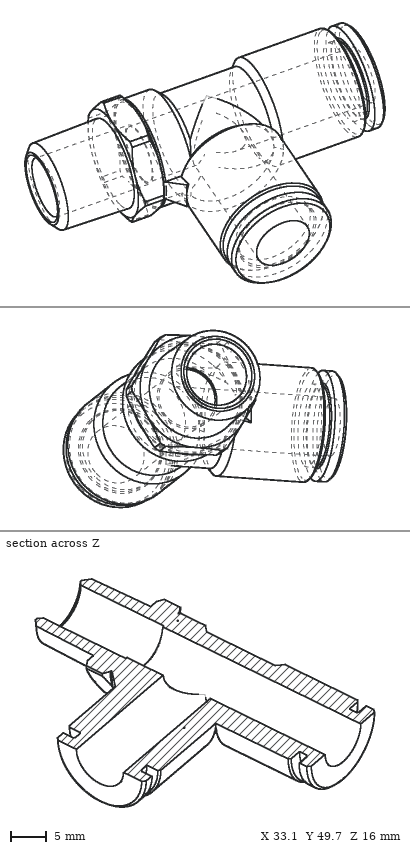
import math

import cadquery as cq

body_radius = 8.0
waist_radius = 7.0
shoulder = body_radius - waist_radius
port_length = 24.15
socket_start = body_radius
socket_end = 20.95
socket_chamfer = 0.3

collar_radius = 7.75
collar_thickness = 1.8
collar_chamfer = 0.45
neck_radius = 5.8
neck_flare = 0.2

ring_start = 5.9
ring_end = 10.45
ring_chamfer = 0.3

hex_sides = 6
hex_across_flats = 16.0
hex_thickness = 4.0
hex_corner_radius = 9.0
hex_chamfer_angle = 30.0

stud_end = 25.5
stud_base_radius = 6.65
stud_tip_radius = 6.42
stud_chamfer_length = 0.95
stud_face_radius = 5.35

bore_radius = 4.1
stud_bore_radius = 4.35
mouth_radius = 4.95

gusset_half_angle = 12.2
gusset_reach = 10.1

hex_start = ring_end
hex_end = hex_start + hex_thickness


def revolve_about_y(profile_points):
    """Revolve (radius, y) points around the Y axis."""
    profile = cq.Workplane("XY").polyline(profile_points).close()
    return profile.revolve(360, (0, 0, 0), (0, 1, 0))


def make_port():
    """Waist, socket and release collar of one port, running from the origin along +Y."""
    collar_back = port_length - collar_thickness
    return revolve_about_y([
        (0, 0),
        (waist_radius, 0),
        (waist_radius, socket_start - shoulder),
        (body_radius, socket_start),
        (body_radius, socket_end - socket_chamfer),
        (body_radius - socket_chamfer, socket_end),
        (neck_radius, socket_end),
        (neck_radius, collar_back - neck_flare),
        (neck_radius + neck_flare, collar_back),
        (collar_radius, collar_back),
        (collar_radius, port_length - collar_chamfer),
        (collar_radius - collar_chamfer, port_length),
        (0, port_length),
    ])


def make_swivel_ring():
    """Lower half of the run: waist, cone and ring down to the hexagon."""
    return revolve_about_y([
        (0, 0),
        (waist_radius, 0),
        (waist_radius, -ring_start + shoulder),
        (body_radius, -ring_start),
        (body_radius, -ring_end + ring_chamfer),
        (body_radius - ring_chamfer, -ring_end),
        (0, -ring_end),
    ])


def make_hexagon():
    """Hexagon with corners along X, turned to a rounded and chamfered outline."""
    corner_to_corner = hex_across_flats / math.cos(math.pi / hex_sides)
    prism = (
        cq.Workplane("XZ", origin=(0, -hex_start, 0))
        .polygon(hex_sides, corner_to_corner)
        .extrude(hex_thickness)
    )
    face_radius = hex_across_flats / 2
    drop = (hex_corner_radius - face_radius) * math.tan(math.radians(hex_chamfer_angle))
    turned_blank = revolve_about_y([
        (0, -hex_start),
        (face_radius, -hex_start),
        (hex_corner_radius, -hex_start - drop),
        (hex_corner_radius, -hex_end + drop),
        (face_radius, -hex_end),
        (0, -hex_end),
    ])
    return prism.intersect(turned_blank)


def make_stud():
    """Tapered stud with a chamfered tip."""
    return revolve_about_y([
        (0, -hex_end),
        (stud_base_radius, -hex_end),
        (stud_tip_radius, -stud_end + stud_chamfer_length),
        (stud_face_radius, -stud_end),
        (0, -stud_end),
    ])


def make_gusset():
    """45 degree gusset whose side faces fan out from the run axis."""
    slope_start = gusset_reach - (ring_end - body_radius)
    slab = (
        cq.Workplane("XY")
        .polyline([
            (0, -ring_end),
            (slope_start, -ring_end),
            (gusset_reach, -body_radius),
            (gusset_reach, 0),
            (0, 0),
        ])
        .close()
        .extrude(body_radius, both=True)
    )
    half_width = gusset_reach * math.tan(math.radians(gusset_half_angle))
    wedge = (
        cq.Workplane("XZ")
        .polyline([(0, 0), (gusset_reach, -half_width), (gusset_reach, half_width)])
        .close()
        .extrude(ring_end)
    )
    return slab.intersect(wedge)


def make_bore():
    """Stepped bore through the run with a flared stud mouth, and a matching branch bore."""
    mouth_depth = mouth_radius - stud_bore_radius
    run_bore = revolve_about_y([
        (0, port_length),
        (bore_radius, port_length),
        (bore_radius, -hex_start),
        (stud_bore_radius, -hex_start),
        (stud_bore_radius, -stud_end + mouth_depth),
        (mouth_radius, -stud_end),
        (0, -stud_end),
    ])
    branch_bore = cq.Workplane("YZ").circle(bore_radius).extrude(port_length)
    return run_bore.union(branch_bore)


run_port = make_port()
branch_port = run_port.rotate((0, 0, 0), (0, 0, 1), -90)

result = (
    run_port
    .union(branch_port)
    .union(make_swivel_ring())
    .union(make_gusset())
    .union(make_hexagon())
    .union(make_stud())
    .cut(make_bore())
)